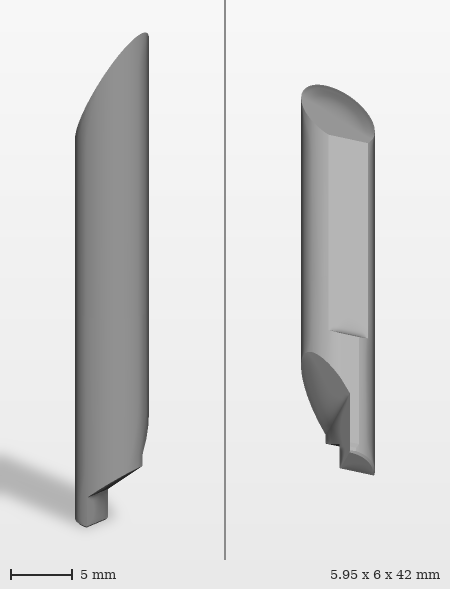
import cadquery as cq
import math

length = 42.0
diameter = 6.0
overall_width = 5.95
radius = diameter / 2
joint_height = 18.0
margin = 0.4
outside = radius + margin

clamp_flat_x = -2.48
clamp_flat_bottom = 12.45
rear_angle = 30.0

neck_flat_x = -2.9
tip_flat_x = radius - overall_width
neck_flat_bottom = 1.0
tip_flat_top = 0.5

clearance_x = -0.4
clearance_top = 2.6
clearance_run_out_top = 5.15

rake_y = 0.0
rake_top = 6.05
rake_angle = 30.0

end_chamfer = 0.15


def round_bar(bottom, top):
    """A plain cylinder on the Z axis between two heights."""
    return cq.Workplane("XY").workplane(offset=bottom).circle(radius).extrude(top - bottom)


def prism_along_y(points):
    """An (x, z) outline extruded through the whole bar along Y."""
    return cq.Workplane("XZ").polyline(points).close().extrude(outside, both=True)


def prism_along_x(points):
    """A (y, z) outline extruded through the whole bar along X."""
    return cq.Workplane("YZ").polyline(points).close().extrude(outside, both=True)


def minus_x_relief():
    """Material removed from the -X side: tip, neck, run-out and clamping flat."""
    run_out_bottom = clamp_flat_bottom - (clamp_flat_x - neck_flat_x)
    return prism_along_y([
        (-outside, -margin),
        (tip_flat_x, -margin),
        (tip_flat_x, tip_flat_top),
        (neck_flat_x, neck_flat_bottom),
        (neck_flat_x, run_out_bottom),
        (clamp_flat_x, clamp_flat_bottom),
        (clamp_flat_x, length + margin),
        (-outside, length + margin),
    ])


def rear_slant():
    """Wedge that cuts the rear end down from its highest point at +X."""
    drop = (radius + outside) / math.tan(math.radians(rear_angle))
    return prism_along_y([
        (radius, length),
        (-outside, length - drop),
        (-outside, length),
    ])


def tip_clearance():
    """Space on the +X side of the tip, with a sloping upper end."""
    slope = (clearance_run_out_top - clearance_top) / (radius - clearance_x)
    return prism_along_y([
        (clearance_x, -margin),
        (clearance_x, clearance_top),
        (outside, clearance_run_out_top + slope * margin),
        (outside, -margin),
    ])


def rake_space():
    """Space on the +Y side of the rake face, with a sloping upper end."""
    rise = (outside - rake_y) / math.tan(math.radians(rake_angle))
    return prism_along_x([
        (rake_y, -margin),
        (rake_y, rake_top),
        (outside, rake_top + rise),
        (outside, -margin),
    ])


def tip_edge_bevel():
    """Corner removed along the lower edge of the clearance face."""
    return prism_along_y([
        (clearance_x, end_chamfer),
        (clearance_x, 0),
        (clearance_x - end_chamfer, 0),
    ])


def make_head():
    """Lower body: the cutting head."""
    head = round_bar(0, joint_height).faces("<Z").chamfer(end_chamfer)
    for removed in (minus_x_relief(), tip_clearance(), rake_space(), tip_edge_bevel()):
        head = head.cut(removed)
    return head


def make_shank():
    """Upper body: the shank that is clamped in a holder."""
    shank = round_bar(joint_height, length)
    for removed in (minus_x_relief(), rear_slant()):
        shank = shank.cut(removed)
    return shank


head = make_head()
shank = make_shank()

result = cq.Compound.makeCompound([head.val(), shank.val()])